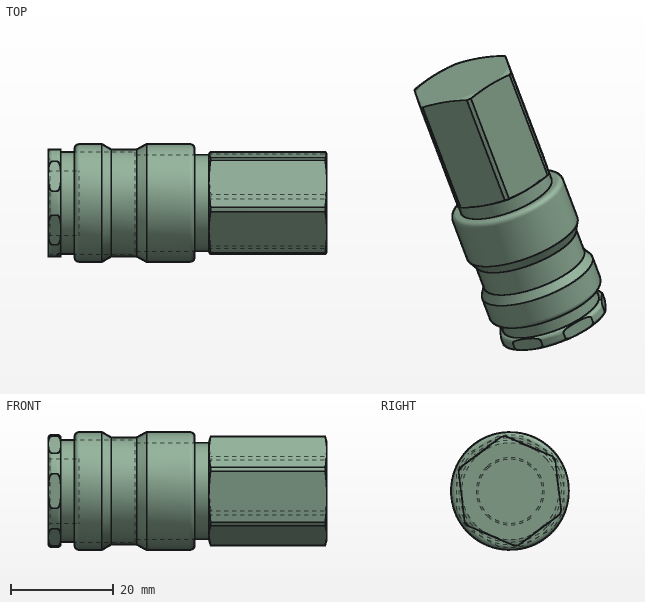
import cadquery as cq
import math

TOTAL_LENGTH = 54.5

FLANGE_DIAMETER = 22.0
FLANGE_WIDTH = 2.5
FLANGE_FILLET = 0.75
FLANGE_ACROSS_FLATS = 21.0

BORE_DIAMETER = 12.6
BORE_DEPTH = 6.0
BORE_CHAMFER = 0.3

FRONT_NECK_DIAMETER = 20.0
REAR_NECK_DIAMETER = 18.95

HEX_START = 31.45
HEX_ACROSS_FLATS = 19.0
HEX_CORNER_DIAMETER = 21.5
HEX_TILT = 6.8
HEX_CHAMFER_ANGLE = 15.0

SLEEVE_DIAMETER = 23.1
SLEEVE_START = 5.1
SLEEVE_END = 28.65
SLEEVE_FILLET = 1.0
GROOVE_DIAMETER = 21.0
GROOVE_FRONT_TOP = 10.5
GROOVE_FRONT_FLOOR = 12.3
GROOVE_REAR_FLOOR = 17.3
GROOVE_REAR_TOP = 19.25

STEP_X = (SLEEVE_START + SLEEVE_END) / 2


def cylinder(diameter, start, end):
    """Solid cylinder on the X axis between two X positions."""
    return cq.Workplane("YZ", origin=(start, 0, 0)).circle(diameter / 2).extrude(end - start)


def hexagon(across_flats, start, end, tilt=0.0):
    """Hexagonal bar on the X axis, one corner tilted from +Z towards -Y."""
    corner_to_corner = across_flats / math.cos(math.pi / 6)
    bar = cq.Workplane("YZ", origin=(start, 0, 0)).polygon(6, corner_to_corner).extrude(end - start)
    return bar.rotate((0, 0, 0), (1, 0, 0), 90 + tilt)


def revolve_about_x(outline):
    """Full turn about X of an outline given as (x, radius) points."""
    return cq.Workplane("XY").polyline(outline).close().revolve(360, (0, 0, 0), (1, 0, 0))


def make_flange():
    disc = cylinder(FLANGE_DIAMETER, 0, FLANGE_WIDTH).faces("<X or >X").edges().fillet(FLANGE_FILLET)
    return disc.intersect(hexagon(FLANGE_ACROSS_FLATS, 0, FLANGE_WIDTH))


def make_hex_end():
    """Hexagon with truncated corners and a shallow conical chamfer at both ends."""
    face_radius = HEX_ACROSS_FLATS / 2
    corner_radius = HEX_CORNER_DIAMETER / 2
    chamfer_length = (corner_radius - face_radius) * math.tan(math.radians(HEX_CHAMFER_ANGLE))
    envelope = revolve_about_x([
        (HEX_START, 0),
        (HEX_START, face_radius),
        (HEX_START + chamfer_length, corner_radius),
        (TOTAL_LENGTH - chamfer_length, corner_radius),
        (TOTAL_LENGTH, face_radius),
        (TOTAL_LENGTH, 0),
    ])
    return envelope.intersect(hexagon(HEX_ACROSS_FLATS, HEX_START, TOTAL_LENGTH, HEX_TILT))


def make_socket_bore():
    """Cutter for the blind bore and the chamfer at its mouth."""
    bore_radius = BORE_DIAMETER / 2
    return revolve_about_x([
        (0, 0),
        (0, bore_radius + BORE_CHAMFER),
        (BORE_CHAMFER, bore_radius),
        (BORE_DEPTH, bore_radius),
        (BORE_DEPTH, 0),
    ])


def make_necks(front_end, rear_end):
    """Stepped round core; it shapes the body and also the bore of the sleeve."""
    front_neck = cylinder(FRONT_NECK_DIAMETER, front_end, STEP_X)
    rear_neck = cylinder(REAR_NECK_DIAMETER, STEP_X, rear_end)
    return front_neck.union(rear_neck)


def make_body():
    necks = make_necks(FLANGE_WIDTH, HEX_START)
    return make_flange().union(necks).union(make_hex_end()).cut(make_socket_bore())


def make_sleeve():
    """Sleeve with rounded ends, a grip groove with sloping sides and a stepped bore."""
    outer_radius = SLEEVE_DIAMETER / 2
    groove_radius = GROOVE_DIAMETER / 2
    blank = revolve_about_x([
        (SLEEVE_START, 0),
        (SLEEVE_START, outer_radius),
        (GROOVE_FRONT_TOP, outer_radius),
        (GROOVE_FRONT_FLOOR, groove_radius),
        (GROOVE_REAR_FLOOR, groove_radius),
        (GROOVE_REAR_TOP, outer_radius),
        (SLEEVE_END, outer_radius),
        (SLEEVE_END, 0),
    ])
    rounded = blank.faces("<X or >X").edges().fillet(SLEEVE_FILLET)
    return rounded.cut(make_necks(SLEEVE_START, SLEEVE_END))


body = make_body()
sleeve = make_sleeve()

result = cq.Compound.makeCompound([body.val(), sleeve.val()])